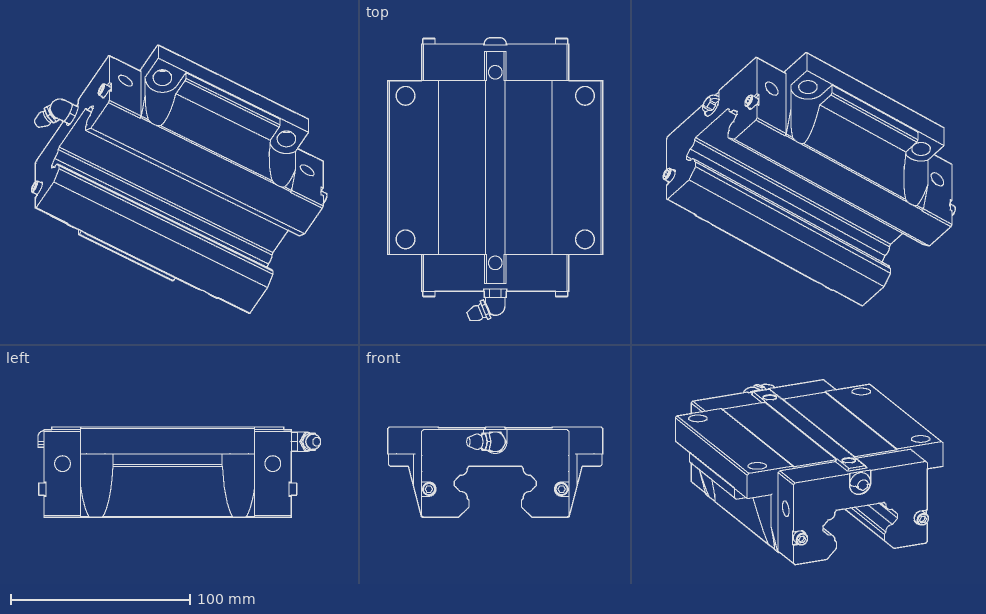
import cadquery as cq
import math

TOTAL_HEIGHT = 50.5
BODY_LENGTH = 97.0
LOWER_EDGE_X = 41.0

HEX_SIDES = 6

FLANGE_WIDTH = 120.0
FLANGE_STEP_Z = 35.5
FLANGE_BOTTOM_Z = 28.5
LOWER_FLANGE_INSET = 0.5
SIDE_TOP_X = 48.5
EDGE_CHAMFER = 1.0
SIDE_FOOT_CHAMFER = 0.5

RELIEF_DEPTH = 0.5
RELIEF_INNER_X = 5.3
RELIEF_OUTER_X = 31.7

HOLE_PITCH_X = 100.0
HOLE_PITCH_Y = 80.0
HOLE_DIAMETER = 10.3
POCKET_RADIUS = 9.6

RAIL_ROOF_Z = FLANGE_BOTTOM_Z
RAIL_AXIS_Z = 19.0
RAIL_WAIST_X = 14.6
RAIL_SHOULDER_X = 15.6
RAIL_WIDE_X = 22.8
RAIL_WIDE_HALF_HEIGHT = 1.2
BALL_LEDGE_X = 19.6
BALL_LEDGE_OFFSET = 4.5
BALL_CREST_X = 17.1
BALL_CREST_OFFSET = 5.1
BALL_OUTER_OFFSET = 7.4
SHOULDER_OFFSET = 8.3
LEG_CHAMFER_Z = 5.8
LEG_CHAMFER_X = 20.5

CAP_WIDTH = 82.0
CAP_TOP_Z = 49.0
CAP_LENGTH = 20.5
SEAL_THICKNESS = 4.3
END_Y = BODY_LENGTH / 2 + CAP_LENGTH
SEAL_INNER_Y = END_Y - SEAL_THICKNESS
RIDGE_TOP_X = 5.0
RIDGE_BASE_X = 6.0

SIDE_HOLE_Y = 58.6
SIDE_HOLE_Z = 30.0
SIDE_HOLE_DIAMETER = 8.8
SIDE_HOLE_DEPTH = 6.0
TOP_HOLE_Y = 53.1
TOP_HOLE_DIAMETER = 7.6
TOP_HOLE_DEPTH = 0.5

PORT_Z = 42.2
PORT_RADIUS = 6.5
NIPPLE_PORT_DEPTH = 1.2
PLUG_PORT_DEPTH = 0.7

SCREW_X = 37.0
SCREW_Z = 15.8
SCREW_HEAD_RADIUS = 3.5
SCREW_PROJECTION = 3.1
SCREW_CHAMFER = 0.4
SCREW_POCKET_RADIUS = 4.0
SCREW_POCKET_DEPTH = 1.3
SOCKET_CORNER_DIAMETER = 4.2
SOCKET_DEPTH = 2.0

PLUG_RADIUS = 6.2
PLUG_FACE_RADIUS = 3.3
PLUG_PROJECTION = 3.4
PLUG_HEX_CORNER_RADIUS = 3.1

NIPPLE_HEX_CORNER_DIAMETER = 12.4
NIPPLE_HEX_LENGTH = 4.5
NIPPLE_BALL_RADIUS = 5.5
NIPPLE_BALL_Y = -76.95
ARM_ANGLE = 22.25
ARM_HEX_CORNER_DIAMETER = 11.2
ARM_HEX_START = 4.8
ARM_HEX_END = 6.9
ARM_SHOULDER_RADIUS = 4.4
ARM_WAIST_RADIUS = 3.5
ARM_WAIST_AT = 8.9
ARM_BULB_RADIUS = 4.3
ARM_BULB_AT = 10.7
ARM_CONE_RADIUS = 4.1
ARM_CONE_START = 12.0
ARM_TIP_RADIUS = 2.4
ARM_LENGTH = 16.2


def box_between(x0, x1, y0, y1, z0, z1):
    return cq.Workplane("XY").box(x1 - x0, y1 - y0, z1 - z0, centered=False).translate((x0, y0, z0))


def extrude_along_y(profile, y0, y1):
    """Extrude an XZ profile between two Y positions."""
    return profile.extrude(-(y1 - y0)).translate((0, y0, 0))


def cylinder_along_y(x, z, radius, y0, y1):
    return extrude_along_y(cq.Workplane("XZ").center(x, z).circle(radius), y0, y1)


def both_ends(solid):
    """The solid together with its mirror image at the other end."""
    return solid.union(solid.mirror("XZ"))


def make_body():
    half_y = BODY_LENGTH / 2
    half_x = FLANGE_WIDTH / 2
    lower_x = half_x - LOWER_FLANGE_INSET

    core_points = [
        (LOWER_EDGE_X - SIDE_FOOT_CHAMFER, 0),
        (LOWER_EDGE_X + SIDE_FOOT_CHAMFER / 2, SIDE_FOOT_CHAMFER),
        (SIDE_TOP_X, FLANGE_BOTTOM_Z),
        (SIDE_TOP_X, FLANGE_STEP_Z),
    ]
    mirrored_points = [(-x, z) for x, z in reversed(core_points)]
    core_profile = cq.Workplane("XZ").polyline(core_points + mirrored_points).close()
    core = extrude_along_y(core_profile, -half_y, half_y)

    lower = box_between(-lower_x, lower_x, -half_y, half_y, FLANGE_BOTTOM_Z, FLANGE_STEP_Z)
    lower = lower.edges("|Y and <Z").chamfer(EDGE_CHAMFER)
    upper = box_between(-half_x, half_x, -half_y, half_y, FLANGE_STEP_Z, TOTAL_HEIGHT)
    upper = upper.edges("|Y and >Z").chamfer(EDGE_CHAMFER)
    body = core.union(lower).cut(bolt_pockets()).union(upper)

    for side in (-1, 1):
        body = body.cut(top_relief(side))
    holes = cq.Workplane("XY").rect(HOLE_PITCH_X, HOLE_PITCH_Y, forConstruction=True).vertices()
    return body.cut(holes.circle(HOLE_DIAMETER / 2).extrude(TOTAL_HEIGHT))


def bolt_pockets():
    """Clearance around the bolts below the upper flange, open to the outer corners."""
    hole_x = HOLE_PITCH_X / 2
    hole_y = HOLE_PITCH_Y / 2
    round_part = cq.Workplane("XY").center(hole_x, hole_y).circle(POCKET_RADIUS).extrude(FLANGE_STEP_Z)
    inner_y = hole_y - POCKET_RADIUS
    open_part = box_between(hole_x, FLANGE_WIDTH / 2, inner_y, BODY_LENGTH / 2, 0, FLANGE_STEP_Z)
    pocket = both_ends(round_part.union(open_part))
    return pocket.union(pocket.mirror("YZ"))


def top_relief(side):
    centre_x = side * (RELIEF_INNER_X + RELIEF_OUTER_X) / 2
    relief = cq.Workplane("XY").box(RELIEF_OUTER_X - RELIEF_INNER_X, BODY_LENGTH, 2 * RELIEF_DEPTH)
    return relief.translate((centre_x, 0, TOTAL_HEIGHT))


def make_end_cap():
    """End cap at the -Y end, made of housing, seal plate and centre ridge."""
    half_x = CAP_WIDTH / 2
    cap = box_between(-half_x, half_x, -END_Y, -BODY_LENGTH / 2, 0, CAP_TOP_Z)
    cap = cap.edges("|Y").chamfer(EDGE_CHAMFER)

    ridge_profile = cq.Workplane("XZ").polyline([
        (-RIDGE_BASE_X, CAP_TOP_Z),
        (RIDGE_BASE_X, CAP_TOP_Z),
        (RIDGE_TOP_X, TOTAL_HEIGHT),
        (-RIDGE_TOP_X, TOTAL_HEIGHT),
    ]).close()
    cap = cap.union(extrude_along_y(ridge_profile, -SEAL_INNER_Y, -BODY_LENGTH / 2))

    top_hole = cq.Workplane("XY").circle(TOP_HOLE_DIAMETER / 2).extrude(TOP_HOLE_DEPTH)
    cap = cap.cut(top_hole.translate((0, -TOP_HOLE_Y, TOTAL_HEIGHT - TOP_HOLE_DEPTH)))

    side_hole = cq.Workplane("YZ").circle(SIDE_HOLE_DIAMETER / 2).extrude(SIDE_HOLE_DEPTH)
    side_hole = side_hole.translate((-half_x, -SIDE_HOLE_Y, SIDE_HOLE_Z))
    return cap.cut(side_hole).cut(side_hole.mirror("YZ"))


def port_recess(depth):
    """Shallow U-shaped recess, open at the top, in the -Y face."""
    floor_y = depth - END_Y
    round_part = cylinder_along_y(0, PORT_Z, PORT_RADIUS, -END_Y, floor_y)
    return round_part.union(box_between(-PORT_RADIUS, PORT_RADIUS, -END_Y, floor_y, PORT_Z, CAP_TOP_Z))


def screw_pocket(side):
    """Recess around a screw head at the -Y end, open to the side of the cap."""
    floor_y = SCREW_POCKET_DEPTH - END_Y
    round_part = cylinder_along_y(SCREW_X, SCREW_Z, SCREW_POCKET_RADIUS, -END_Y, floor_y)
    open_part = box_between(
        SCREW_X, CAP_WIDTH / 2, -END_Y, floor_y, SCREW_Z - SCREW_POCKET_RADIUS, SCREW_Z + SCREW_POCKET_RADIUS
    )
    pocket = round_part.union(open_part)
    return pocket if side > 0 else pocket.mirror("YZ")


def screw_head(side):
    """Socket screw head standing proud of the -Y end."""
    face_y = -END_Y - SCREW_PROJECTION
    head = cylinder_along_y(side * SCREW_X, SCREW_Z, SCREW_HEAD_RADIUS, face_y, SCREW_POCKET_DEPTH - END_Y)
    head = head.faces("<Y").chamfer(SCREW_CHAMFER)
    socket = cq.Workplane("XZ").center(side * SCREW_X, SCREW_Z).polygon(HEX_SIDES, SOCKET_CORNER_DIAMETER)
    return head.cut(extrude_along_y(socket, face_y, face_y + SOCKET_DEPTH))


def rail_opening():
    """Rail profile, symmetric in X, with convex bumps that follow the ball grooves."""
    offsets = (RAIL_WIDE_HALF_HEIGHT, BALL_LEDGE_OFFSET, BALL_OUTER_OFFSET, SHOULDER_OFFSET)
    wide_up, ledge_up, outer_up, shoulder_up = [RAIL_AXIS_Z + offset for offset in offsets]
    wide_down, ledge_down, outer_down, shoulder_down = [RAIL_AXIS_Z - offset for offset in offsets]
    crest_up = RAIL_AXIS_Z + BALL_CREST_OFFSET
    crest_down = RAIL_AXIS_Z - BALL_CREST_OFFSET
    leg_top_z = 2 * RAIL_AXIS_Z - RAIL_ROOF_Z
    half = (
        cq.Workplane("XZ")
        .moveTo(0, RAIL_ROOF_Z)
        .lineTo(RAIL_WAIST_X, RAIL_ROOF_Z)
        .lineTo(RAIL_SHOULDER_X, shoulder_up)
        .lineTo(RAIL_SHOULDER_X, outer_up)
        .threePointArc((BALL_CREST_X, crest_up), (BALL_LEDGE_X, ledge_up))
        .lineTo(RAIL_WIDE_X, wide_up)
        .lineTo(RAIL_WIDE_X, wide_down)
        .lineTo(BALL_LEDGE_X, ledge_down)
        .threePointArc((BALL_CREST_X, crest_down), (RAIL_SHOULDER_X, outer_down))
        .lineTo(RAIL_SHOULDER_X, shoulder_down)
        .lineTo(RAIL_WAIST_X, leg_top_z)
        .lineTo(RAIL_WAIST_X, LEG_CHAMFER_Z)
        .lineTo(LEG_CHAMFER_X, 0)
        .lineTo(0, 0)
        .close()
    )
    half = extrude_along_y(half, -END_Y, END_Y)
    return half.union(half.mirror("YZ"))


def make_plug():
    """Half-dome plug with the lower half of its hexagon exposed, at the +Y end."""
    seat_y = END_Y - PLUG_PORT_DEPTH
    face_y = END_Y + PLUG_PROJECTION
    bulge = math.sqrt(0.5)
    arc_mid = (
        PLUG_FACE_RADIUS + (PLUG_RADIUS - PLUG_FACE_RADIUS) * bulge,
        seat_y + (face_y - seat_y) * bulge,
    )
    dome = (
        cq.Workplane("XY")
        .moveTo(0, seat_y)
        .lineTo(PLUG_RADIUS, seat_y)
        .threePointArc(arc_mid, (PLUG_FACE_RADIUS, face_y))
        .lineTo(0, face_y)
        .close()
        .revolve(180, (0, 0, 0), (0, -1, 0))
        .translate((0, 0, PORT_Z))
    )
    hexagon = cq.Workplane("XZ").polygon(HEX_SIDES, 2 * PLUG_HEX_CORNER_RADIUS)
    hexagon = extrude_along_y(hexagon, seat_y, face_y).rotate((0, 0, 0), (0, 1, 0), 180 / HEX_SIDES)
    return dome.union(hexagon.translate((0, 0, PORT_Z)))


def make_nipple():
    """Elbowed grease nipple at the -Y end."""
    seat_y = NIPPLE_PORT_DEPTH - END_Y
    hex_end_y = seat_y - NIPPLE_HEX_LENGTH
    hexagon = cq.Workplane("XZ").polygon(HEX_SIDES, NIPPLE_HEX_CORNER_DIAMETER)
    foot = extrude_along_y(hexagon, hex_end_y, seat_y)
    neck = cylinder_along_y(0, 0, NIPPLE_BALL_RADIUS, NIPPLE_BALL_Y, hex_end_y)
    ball = cq.Workplane("XY").sphere(NIPPLE_BALL_RADIUS).translate((0, NIPPLE_BALL_Y, 0))
    nipple = foot.union(neck).union(ball).union(nipple_arm().translate((0, NIPPLE_BALL_Y, 0)))
    return nipple.translate((0, 0, PORT_Z))


def nipple_arm():
    """Arm built along -X from the ball centre, then swung towards -Y."""
    collar = (
        cq.Workplane("YZ")
        .polygon(HEX_SIDES, ARM_HEX_CORNER_DIAMETER)
        .extrude(ARM_HEX_START - ARM_HEX_END)
        .translate((-ARM_HEX_START, 0, 0))
    )
    stem = (
        cq.Workplane("XY")
        .lineTo(0, ARM_WAIST_RADIUS)
        .lineTo(-ARM_HEX_START, ARM_WAIST_RADIUS)
        .lineTo(-ARM_HEX_END, ARM_SHOULDER_RADIUS)
        .lineTo(-ARM_WAIST_AT, ARM_WAIST_RADIUS)
        .threePointArc((-ARM_BULB_AT, ARM_BULB_RADIUS), (-ARM_CONE_START, ARM_CONE_RADIUS))
        .lineTo(-ARM_LENGTH, ARM_TIP_RADIUS)
        .lineTo(-ARM_LENGTH, 0)
        .close()
        .revolve(360, (0, 0, 0), (1, 0, 0))
    )
    return collar.union(stem).rotate((0, 0, 0), (0, 0, 1), ARM_ANGLE)


carriage = make_body().union(both_ends(make_end_cap())).cut(rail_opening())
carriage = carriage.cut(port_recess(NIPPLE_PORT_DEPTH)).cut(port_recess(PLUG_PORT_DEPTH).mirror("XZ"))
for screw_side in (-1, 1):
    carriage = carriage.cut(both_ends(screw_pocket(screw_side)))
    carriage = carriage.union(both_ends(screw_head(screw_side)))

result = carriage.union(make_plug()).union(make_nipple())